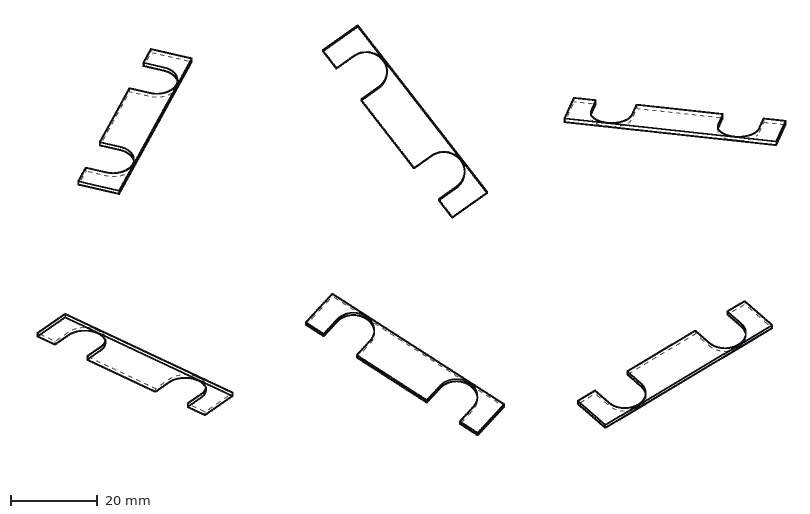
import cadquery as cq

width = 10.0
length = 50.0
thickness = 1.0

slot_width = 9.6
slot_spacing = 30.0
slot_end_x = 0.0

slot_radius = slot_width / 2
slot_depth = width / 2 + slot_end_x


def open_slot(center_y):
    """Cutter for one slot: a straight run from the -X edge plus a round end."""
    straight = (
        cq.Workplane("XY")
        .center(slot_end_x - slot_depth / 2, center_y)
        .rect(slot_depth, slot_width)
        .extrude(thickness / 2, both=True)
    )
    round_end = (
        cq.Workplane("XY")
        .center(slot_end_x, center_y)
        .circle(slot_radius)
        .extrude(thickness / 2, both=True)
    )
    return straight.union(round_end)


result = cq.Workplane("XY").box(width, length, thickness)
for side in (-1, 1):
    result = result.cut(open_slot(side * slot_spacing / 2))